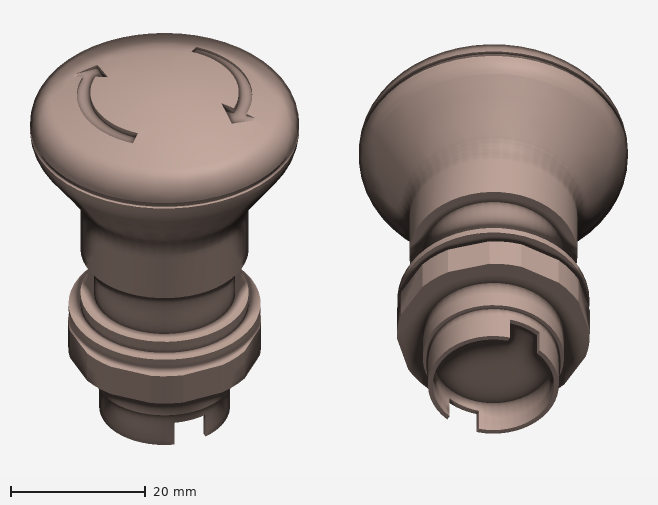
import cadquery as cq
import math

TAIL_TOP = 6.0
NUT_BOTTOM = 11.0
NUT_TOP = 16.0
GASKET_BOTTOM = 18.0
GASKET_TOP = 19.0
FLANGE_TOP = 21.0
HEAD_BOTTOM = 29.0
FLARE_BOTTOM = 37.0
FLARE_TOP = 40.0
CONE_TOP = 48.0
GROOVE_BOTTOM = 51.0
GROOVE_TOP = 52.0
DOME_EDGE = 56.0
HEAD_TOP = 59.0

HEAD_RADIUS = 20.0
GROOVE_RADIUS = 19.5
DOME_RADIUS = 17.0
COLLAR_RADIUS = 12.5
FLANGE_RADIUS = COLLAR_RADIUS
BARREL_RADIUS = 10.5
GASKET_RADIUS = 14.3
TAIL_RADIUS = 9.75

CONE_ANGLE = math.radians(35)

TAIL_WALL = 0.7
SLOT_WIDTH = 5.0
SLOT_HEIGHT = 4.0

NUT_FLATS = 27.95
NUT_CORNER_RADIUS = 14.35
NUT_SIDES = 8

ARROW_FLOOR = 56.8
ARROW_OUTER_RADIUS = 13.05
ARROW_INNER_RADIUS = 11.05
BARB_OUTER_RADIUS = 15.1
BARB_INNER_RADIUS = 9.0
TIP_RADIUS = 12.45
ARROW_START_ANGLE = 135
ARROW_MIDDLE_ANGLE = 90
BARB_ANGLE = 45
TIP_ANGLE = 29.6
ARROW_COUNT = 2


def polar(radius, degrees):
    angle = math.radians(degrees)
    return (radius * math.cos(angle), radius * math.sin(angle))


def cylinder(radius, bottom, top):
    return cq.Workplane("XY").workplane(offset=bottom).circle(radius).extrude(top - bottom)


def make_arrow_cutter():
    """Clockwise arrow, from the floor of its recess to above the dome."""
    return (
        cq.Workplane("XY")
        .workplane(offset=ARROW_FLOOR)
        .moveTo(*polar(ARROW_OUTER_RADIUS, ARROW_START_ANGLE))
        .threePointArc(
            polar(ARROW_OUTER_RADIUS, ARROW_MIDDLE_ANGLE),
            polar(ARROW_OUTER_RADIUS, BARB_ANGLE),
        )
        .lineTo(*polar(BARB_OUTER_RADIUS, BARB_ANGLE))
        .lineTo(*polar(TIP_RADIUS, TIP_ANGLE))
        .lineTo(*polar(BARB_INNER_RADIUS, BARB_ANGLE))
        .lineTo(*polar(ARROW_INNER_RADIUS, BARB_ANGLE))
        .threePointArc(
            polar(ARROW_INNER_RADIUS, ARROW_MIDDLE_ANGLE),
            polar(ARROW_INNER_RADIUS, ARROW_START_ANGLE),
        )
        .close()
        .extrude(HEAD_TOP - ARROW_FLOOR)
    )


def make_head():
    """Mushroom push button with a domed top and a groove round its rim."""
    arc_slope = math.tan(CONE_ANGLE / 2)
    flare_radius = COLLAR_RADIUS + (FLARE_TOP - FLARE_BOTTOM) * arc_slope
    cone_radius = HEAD_RADIUS - (GROOVE_BOTTOM - CONE_TOP) * arc_slope

    dome_height = HEAD_TOP - DOME_EDGE
    sphere_radius = (DOME_RADIUS**2 + dome_height**2) / (2 * dome_height)
    half_angle = math.asin(DOME_RADIUS / sphere_radius) / 2
    dome_middle = (
        sphere_radius * math.sin(half_angle),
        HEAD_TOP - sphere_radius * (1 - math.cos(half_angle)),
    )

    head = (
        cq.Workplane("XZ")
        .moveTo(0, HEAD_BOTTOM)
        .lineTo(COLLAR_RADIUS, HEAD_BOTTOM)
        .lineTo(COLLAR_RADIUS, FLARE_BOTTOM)
        .tangentArcPoint((flare_radius, FLARE_TOP), relative=False)
        .lineTo(cone_radius, CONE_TOP)
        .tangentArcPoint((HEAD_RADIUS, GROOVE_BOTTOM), relative=False)
        .lineTo(GROOVE_RADIUS, GROOVE_BOTTOM)
        .lineTo(GROOVE_RADIUS, GROOVE_TOP)
        .lineTo(HEAD_RADIUS, GROOVE_TOP)
        .sagittaArc((DOME_RADIUS, DOME_EDGE), -rim_sagitta())
        .threePointArc(dome_middle, (0, HEAD_TOP))
        .close()
        .revolve(360, (0, 0), (0, 1))
    )
    for index in range(ARROW_COUNT):
        turn = index * 360 / ARROW_COUNT
        head = head.cut(make_arrow_cutter().rotate((0, 0, 0), (0, 0, 1), turn))
    return head


def rim_sagitta():
    """Bulge of the upper rim arc, which leaves the groove parallel to the axis."""
    inset = HEAD_RADIUS - DOME_RADIUS
    height = DOME_EDGE - GROOVE_TOP
    half_turn = math.atan2(inset, height)
    return math.hypot(inset, height) / 2 * math.tan(half_turn / 2)


def make_body():
    """Barrel with a panel flange and a hollow tail slotted along X."""
    barrel = cylinder(BARREL_RADIUS, TAIL_TOP, HEAD_BOTTOM)
    flange = cylinder(FLANGE_RADIUS, GASKET_TOP, FLANGE_TOP)
    tail = cylinder(TAIL_RADIUS, 0, TAIL_TOP)
    bore = cylinder(TAIL_RADIUS - TAIL_WALL, 0, TAIL_TOP)
    slot = cq.Workplane("XY").box(
        2 * TAIL_RADIUS, SLOT_WIDTH, SLOT_HEIGHT, centered=(True, True, False)
    )
    return barrel.union(flange).union(tail.cut(bore).cut(slot))


def make_gasket():
    """Flat ring under the panel flange."""
    ring = cylinder(GASKET_RADIUS, GASKET_BOTTOM, GASKET_TOP)
    return ring.cut(cylinder(BARREL_RADIUS, GASKET_BOTTOM, GASKET_TOP))


def make_nut():
    """Octagonal nut with flats square to X and Y and turned corners."""
    half_side_angle = 180 / NUT_SIDES
    corner_diameter = NUT_FLATS / math.cos(math.radians(half_side_angle))
    octagon = (
        cq.Workplane("XY")
        .workplane(offset=NUT_BOTTOM)
        .polygon(NUT_SIDES, corner_diameter)
        .extrude(NUT_TOP - NUT_BOTTOM)
        .rotate((0, 0, 0), (0, 0, 1), half_side_angle)
    )
    blank = octagon.intersect(cylinder(NUT_CORNER_RADIUS, NUT_BOTTOM, NUT_TOP))
    return blank.cut(cylinder(BARREL_RADIUS, NUT_BOTTOM, NUT_TOP))


head = make_head()
body = make_body()
gasket = make_gasket()
nut = make_nut()

result = cq.Compound.makeCompound([head.val(), body.val(), gasket.val(), nut.val()])